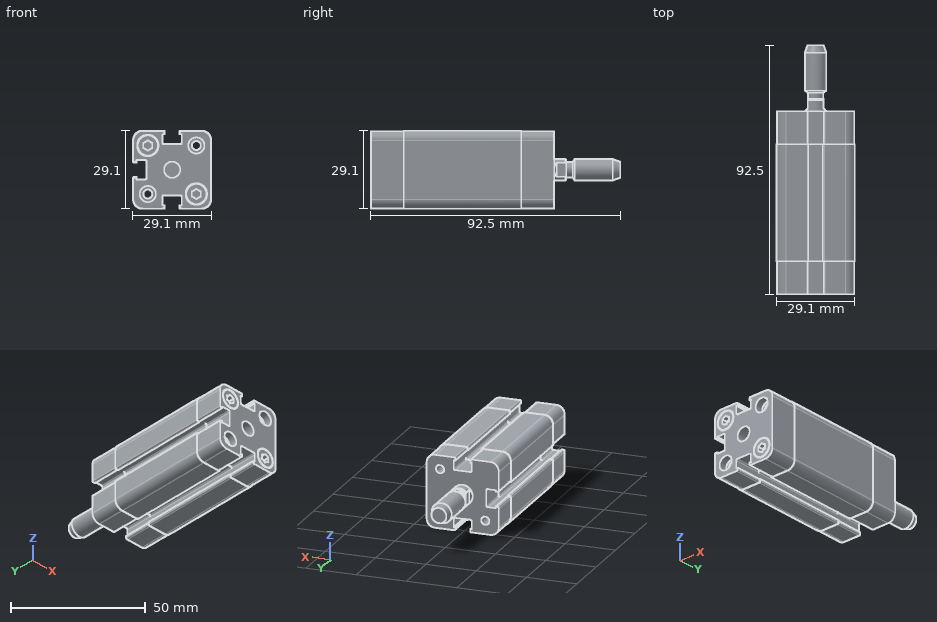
import cadquery as cq
import math


overall_length = 92.5
cap_length = 12.25
barrel_length = 43.5
housing_length = 2 * cap_length + barrel_length

barrel_width = 29.05
cap_width = 28.75
corner_center = 11.0

slot_width = 7.1
slot_floor_radius = 0.5
lip_radius = 0.5
barrel_slot_opening = 5.3
barrel_slot_floor = 9.6
barrel_lip_thickness = 1.4
cap_slot_opening = 5.9
cap_slot_floor = 9.4
cap_lip_thickness = 1.25

fastener_offset = 9.0
screw_bore_diameter = 8.0
screw_head_diameter = 7.5
screw_gap_depth = 4.0
socket_across_flats = 3.24
socket_depth = 2.5
through_hole_diameter = 3.24
mount_hole_diameter = 6.0
mount_hole_depth = 3.6
center_hole_diameter = 6.0
center_hole_depth = 10.0

rod_diameter = 8.0
rod_neck_diameter = 5.8
rod_tip_diameter = 6.0
rod_tip_length = 2.8
thread_length = 16.9
thread_runout = 0.8
collar_length = 4.5
collar_chamfer_length = 0.5
collar_chamfer_depth = 0.3
rod_flat_width = 6.0
rod_flat_end_gap = 0.95


def along_y(start_y):
    """Sketch plane whose X and Y match the part's X and Z; extrusion goes toward -Y."""
    return cq.Workplane("XZ", origin=(0, start_y, 0))


def bar_of_circle(x, z, diameter, start_y, length):
    """Cylinder from start_y toward +Y."""
    return along_y(start_y).center(x, z).circle(diameter / 2).extrude(-length)


def slot_half(side, half_width, opening, floor, lip_thickness, start_y, length):
    """One half of a slot cutter: wall, lip underside, lip tip and rounded outer lip edge."""
    half_slot = slot_width / 2
    half_opening = opening / 2
    lip_bottom = half_width - lip_thickness
    bend = lip_radius * (1 - math.sqrt(0.5))
    return (
        along_y(start_y)
        .moveTo(0, floor)
        .lineTo(side * half_slot, floor)
        .lineTo(side * half_slot, lip_bottom)
        .lineTo(side * half_opening, lip_bottom)
        .lineTo(side * half_opening, half_width - lip_radius)
        .threePointArc(
            (side * (half_opening + bend), half_width - bend),
            (side * (half_opening + lip_radius), half_width),
        )
        .lineTo(0, half_width)
        .close()
        .extrude(-length)
    )


def slot_cutter(half_width, opening, floor, lip_thickness, start_y, length):
    """Slot open at the top, narrowed by two lips."""
    sizes = (half_width, opening, floor, lip_thickness, start_y, length)
    cutter = slot_half(1, *sizes).union(slot_half(-1, *sizes)).clean()
    return cutter.faces("<Z").edges("|Y").fillet(slot_floor_radius)


def housing_section(width, opening, floor, lip_thickness, start_y, length):
    """Rounded square bar with slots on three sides."""
    half_width = width / 2
    section = along_y(start_y).rect(width, width).extrude(-length)
    section = section.edges("|Y").fillet(half_width - corner_center)
    slot = slot_cutter(half_width, opening, floor, lip_thickness, start_y, length)
    for angle in (0, -90, 180):
        section = section.cut(slot.rotate((0, 0, 0), (0, 1, 0), angle))
    return section


def make_housing():
    front_cap = housing_section(
        cap_width, cap_slot_opening, cap_slot_floor, cap_lip_thickness, 0, cap_length
    )
    barrel = housing_section(
        barrel_width,
        barrel_slot_opening,
        barrel_slot_floor,
        barrel_lip_thickness,
        cap_length,
        barrel_length,
    )
    rear_cap = front_cap.translate((0, cap_length + barrel_length, 0))
    return front_cap.union(barrel).union(rear_cap)


def cut_screw(body, x, z):
    """Socket-head screw: a ring gap around the head and a hexagonal socket."""
    bore = bar_of_circle(x, z, screw_bore_diameter, 0, screw_gap_depth)
    head = bar_of_circle(x, z, screw_head_diameter, 0, screw_gap_depth)
    socket = (
        along_y(0)
        .center(x, z)
        .polygon(6, socket_across_flats, circumscribed=True)
        .extrude(-socket_depth)
    )
    return body.cut(bore.cut(head)).cut(socket)


def cut_mount_hole(body, x, z):
    """Through hole with a wider bore at the front."""
    through = bar_of_circle(x, z, through_hole_diameter, 0, housing_length)
    wide = bar_of_circle(x, z, mount_hole_diameter, 0, mount_hole_depth)
    return body.cut(through).cut(wide)


def make_rod():
    """Turned rod with a tapered thread end, a neck and a collar with two wrench flats."""
    rod_radius = rod_diameter / 2
    neck_radius = rod_neck_diameter / 2
    collar_end = housing_length + collar_length
    thread_start = overall_length - thread_length
    rod = (
        cq.Workplane("XY")
        .moveTo(0, housing_length)
        .lineTo(rod_radius, housing_length)
        .lineTo(rod_radius, collar_end - collar_chamfer_length)
        .lineTo(rod_radius - collar_chamfer_depth, collar_end)
        .lineTo(neck_radius, collar_end)
        .lineTo(neck_radius, thread_start - thread_runout)
        .lineTo(rod_radius, thread_start)
        .lineTo(rod_radius, overall_length - rod_tip_length)
        .lineTo(rod_tip_diameter / 2, overall_length)
        .lineTo(0, overall_length)
        .close()
        .revolve(360, (0, 0, 0), (0, 1, 0))
    )
    half_flat = rod_flat_width / 2
    slope_start = housing_length + rod_flat_end_gap
    cutter_width = rod_radius
    flat = (
        cq.Workplane("XY")
        .moveTo(half_flat, slope_start)
        .lineTo(half_flat, collar_end)
        .lineTo(half_flat + cutter_width, collar_end)
        .lineTo(half_flat + cutter_width, slope_start - cutter_width)
        .close()
        .extrude(rod_diameter, both=True)
    )
    return rod.cut(flat).cut(flat.mirror("YZ"))


housing = make_housing()
for side in (-1, 1):
    housing = cut_screw(housing, side * fastener_offset, -side * fastener_offset)
    housing = cut_mount_hole(housing, side * fastener_offset, side * fastener_offset)
housing = housing.cut(bar_of_circle(0, 0, center_hole_diameter, 0, center_hole_depth))

result = housing.union(make_rod())